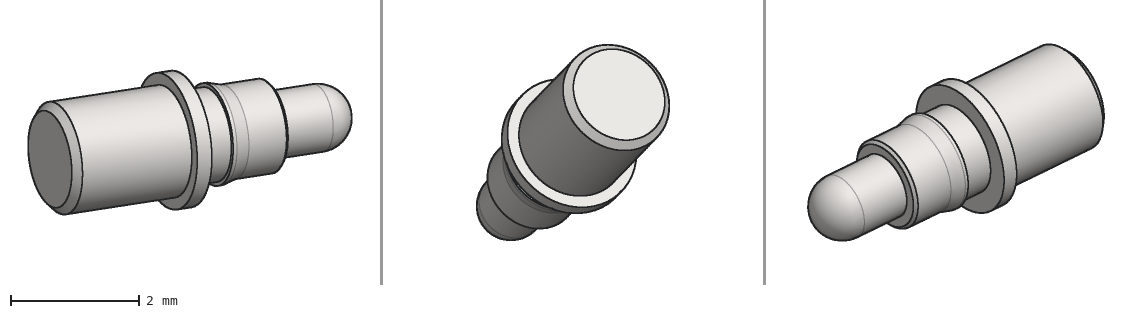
import cadquery as cq

total_length = 5.21

body_radius = 0.89
body_chamfer = 0.125
flange_diameter = 2.16
flange_start = 2.03
flange_thickness = 0.255

barrel_radius = 0.75
barrel_end = 3.81
barrel_chamfer = 0.05

barb_radius = 0.815
barb_start = 2.79
barb_land = 0.06
barb_length = 0.3

plunger_radius = 0.535

flange_end = flange_start + flange_thickness
dome_start = total_length - plunger_radius


def cylinder(radius, start, end):
    """Cylinder about the Y axis between two Y positions."""
    return cq.Workplane("XZ", origin=(0, start, 0)).circle(radius).extrude(start - end)


def make_body():
    return cylinder(body_radius, 0, flange_start).faces("<Y").chamfer(body_chamfer)


def make_barrel():
    return cylinder(barrel_radius, flange_end, barrel_end).faces(">Y").chamfer(barrel_chamfer)


def make_barb():
    profile = (
        cq.Workplane("XY")
        .moveTo(0, barb_start)
        .lineTo(barb_radius, barb_start)
        .lineTo(barb_radius, barb_start + barb_land)
        .lineTo(barrel_radius, barb_start + barb_length)
        .lineTo(0, barb_start + barb_length)
        .close()
    )
    return profile.revolve(360, (0, 0, 0), (0, 1, 0))


def make_plunger():
    """Plunger with a hemispherical contact tip."""
    shaft = cylinder(plunger_radius, barrel_end, dome_start)
    tip = cq.Workplane("XY").sphere(plunger_radius).translate((0, dome_start, 0))
    return shaft.union(tip)


flange = cylinder(flange_diameter / 2, flange_start, flange_end)
result = make_body().union(flange).union(make_barrel()).union(make_barb()).union(make_plunger())